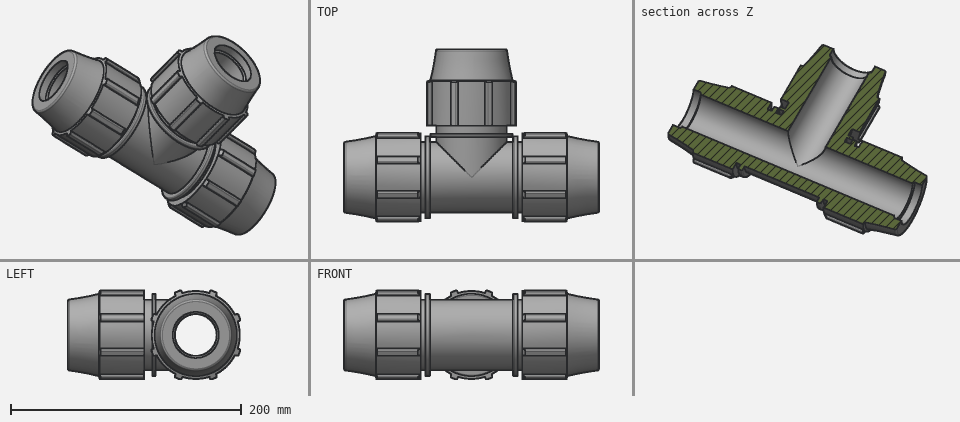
import cadquery as cq
import math


run_reach = 110.5
run_nut_start = 43.8
run_collar_start = 35.8
run_collar_width = 4.5
run_rib_lead = 2.9

branch_reach = 111.0
branch_nut_start = 44.6
branch_collar_start = 34.7
branch_collar_width = 3.0
branch_rib_lead = 0.0

nut_length = 39.3
nut_end_slope = 0.3
envelope_margin = 2.2

pipe_radius = 61.5 / 2
collar_radius = 71.4 / 2
nut_radius = 38.2
nose_base_radius = collar_radius
nose_tip_radius = pipe_radius
bore_radius = 36.0 / 2
mouth_radius = 40.0 / 2

mouth_depth = 7.0
mouth_taper = 1.0
nose_hollow = 0.5
nose_round = 1.8
collar_round = 1.0

rib_count = 8
rib_width = 6.5
rib_round = 1.3
nut_half_height = 77.1 / 2
rib_pitch = 360 / rib_count
rib_angle = math.radians(rib_pitch / 2)
rib_shoulder = rib_width / 2 - rib_round
rib_tip_radius = rib_round + (
    nut_half_height - rib_round - rib_shoulder * math.sin(rib_angle)
) / math.cos(rib_angle)
rib_embed = 2.2
rib_root_radius = nut_radius - rib_embed


def cylinder(radius, start, length):
    """Cylinder on the X axis."""
    return cq.Workplane("YZ").workplane(offset=start).circle(radius).extrude(length)


def make_nose(start, end):
    """Tapered end of the nut, slightly hollow along its flank and rounded at the tip."""
    middle = ((start + end) / 2, (nose_base_radius + nose_tip_radius) / 2 - nose_hollow)
    nose = (
        cq.Workplane("XY")
        .moveTo(start, 0)
        .lineTo(start, nose_base_radius)
        .threePointArc(middle, (end, nose_tip_radius))
        .lineTo(end, 0)
        .close()
        .revolve(360, (0, 0, 0), (1, 0, 0))
    )
    return nose.faces(">X").edges().fillet(nose_round)


def make_rib(start, end, lead):
    """One grip rib on the +Z side; its top slopes down to the nut over the lead length."""
    profile = [
        (start, rib_root_radius),
        (start, nut_radius),
        (start + lead, rib_tip_radius),
        (end, rib_tip_radius),
        (end, rib_root_radius),
    ]
    rib = cq.Workplane("XZ").polyline(profile).close().extrude(rib_width / 2, both=True)
    return rib.faces(">Z").edges("|X").fillet(rib_round)


def make_nut_envelope(start, end):
    """Outer limit of the nut, ending in a shallow cone around the base of the nose."""
    radius = rib_tip_radius + envelope_margin
    setback = nut_end_slope * (radius - nose_base_radius)
    profile = [
        (start, 0),
        (start, radius),
        (end - setback, radius),
        (end, nose_base_radius),
        (end, 0),
    ]
    return cq.Workplane("XY").polyline(profile).close().revolve(360, (0, 0, 0), (1, 0, 0))


def make_nut(start, end, lead):
    """Nut with evenly spaced ribs, straddling the top of the arm."""
    nut = cylinder(nut_radius, start, end - start)
    rib = make_rib(start, end, lead)
    for index in range(rib_count):
        angle = (index + 0.5) * rib_pitch
        nut = nut.union(rib.rotate((0, 0, 0), (1, 0, 0), angle))
    return nut.intersect(make_nut_envelope(start, end))


def make_arm(reach, nut_start, collar_start, collar_width, rib_lead):
    """Solid arm pointing along +X."""
    nut_end = nut_start + nut_length
    collar = cylinder(collar_radius, collar_start, collar_width).edges().fillet(collar_round)
    return (
        cylinder(pipe_radius, 0, nut_end)
        .union(collar)
        .union(make_nut(nut_start, nut_end, rib_lead))
        .union(make_nose(nut_end, reach))
    )


def make_bore(reach):
    """Bore of one arm; a short cone leads from its wider mouth to the bore."""
    mouth_floor = reach - mouth_depth
    profile = [
        (0, 0),
        (0, bore_radius),
        (mouth_floor - mouth_taper, bore_radius),
        (mouth_floor, mouth_radius),
        (reach, mouth_radius),
        (reach, 0),
    ]
    return cq.Workplane("XY").polyline(profile).close().revolve(360, (0, 0, 0), (1, 0, 0))


def turn(shape, angle):
    """Turn an arm about the vertical axis through the crossing."""
    return shape.rotate((0, 0, 0), (0, 0, 1), angle)


run_arm = make_arm(run_reach, run_nut_start, run_collar_start, run_collar_width, run_rib_lead)
branch_arm = make_arm(
    branch_reach, branch_nut_start, branch_collar_start, branch_collar_width, branch_rib_lead
)
run_bore = make_bore(run_reach)
branch_bore = make_bore(branch_reach)

body = run_arm.union(turn(run_arm, 180)).union(turn(branch_arm, 90))
result = body.cut(run_bore).cut(turn(run_bore, 180)).cut(turn(branch_bore, 90))